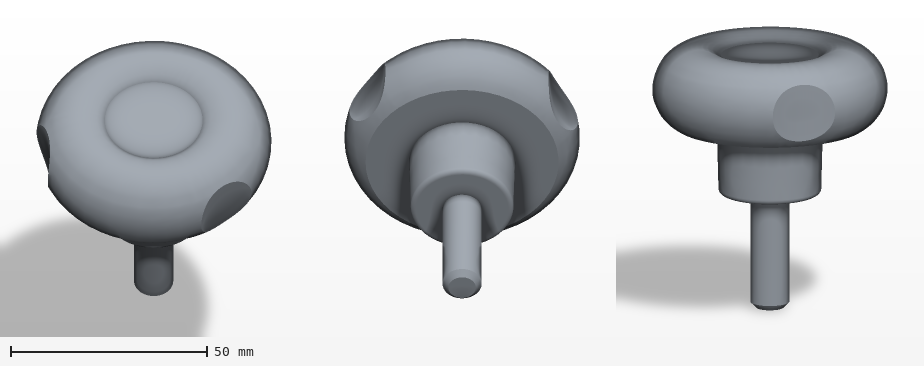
import cadquery as cq
import math

total_height = 68.5
head_bottom = 48.1
hub_bottom = 30.0

head_radius = 30.0
ring_section_radius = 10.95
dish_radius = 12.45
ring_center_radius = head_radius - ring_section_radius
ring_center_height = total_height - ring_section_radius

scallop_count = 3
scallop_radius = 21.2
scallop_nearest = 27.1
scallop_first_angle = 90.0

hub_top_radius = 13.55
hub_bottom_radius = 13.1
hub_fillet = 1.3

stud_radius = 10.0 / 2
stud_chamfer = 1.5


def ring_half_height(radius):
    """Half height of the ring's round section at a distance from the knob axis."""
    return math.sqrt(ring_section_radius**2 - (radius - ring_center_radius) ** 2)


def make_head():
    dish_floor = ring_center_height + ring_half_height(dish_radius)
    flat_drop = ring_center_height - head_bottom
    underside_radius = ring_center_radius + math.sqrt(ring_section_radius**2 - flat_drop**2)
    profile = (
        cq.Workplane("XZ")
        .moveTo(0, head_bottom)
        .lineTo(underside_radius, head_bottom)
        .threePointArc((head_radius, ring_center_height), (dish_radius, dish_floor))
        .lineTo(0, dish_floor)
        .close()
    )
    return profile.revolve(360, (0, 0, 0), (0, 1, 0))


def make_scallop_cutters():
    return (
        cq.Workplane("XY")
        .workplane(offset=head_bottom)
        .polarArray(scallop_nearest + scallop_radius, scallop_first_angle, 360, scallop_count)
        .circle(scallop_radius)
        .extrude(total_height - head_bottom)
    )


def make_hub():
    hub = cq.Workplane("XY").add(
        cq.Solid.makeCone(
            hub_bottom_radius,
            hub_top_radius,
            head_bottom - hub_bottom,
            pnt=cq.Vector(0, 0, hub_bottom),
        )
    )
    return hub.faces("<Z").edges().fillet(hub_fillet)


def make_stud():
    stud = cq.Workplane("XY").circle(stud_radius).extrude(hub_bottom)
    return stud.faces("<Z").chamfer(stud_chamfer)


head = make_head().cut(make_scallop_cutters())
result = head.union(make_hub()).union(make_stud())